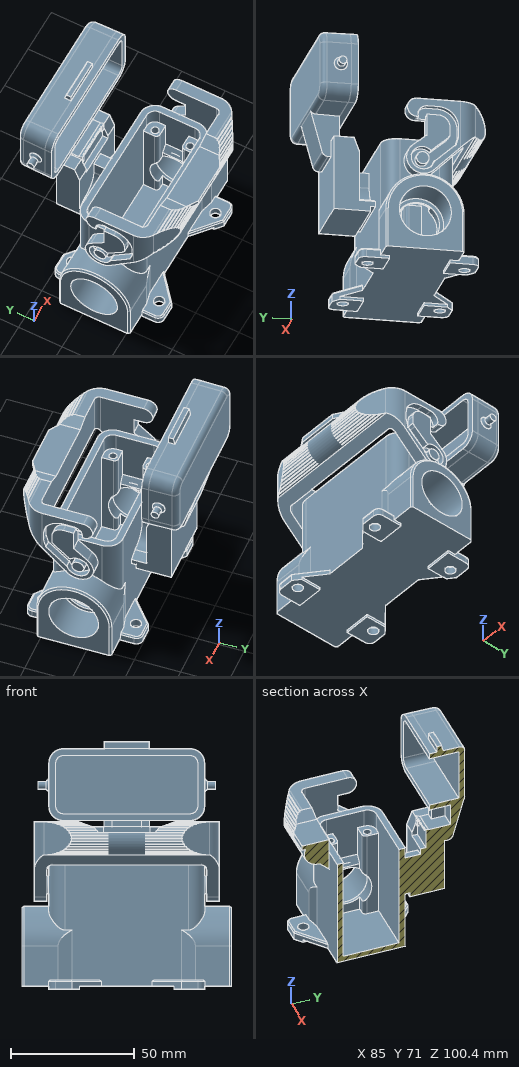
import cadquery as cq
import math

body_half_x, body_half_y, body_corner = 31.6, 14.9, 6.6
base_z, body_top = 1.2, 52.1
wall = 2.8
cavity_half_x, cavity_half_y = body_half_x - wall, body_half_y - wall
cavity_corner = body_corner - wall
cavity_floor = 4.0
end_wall_x, end_wall_top, end_wall_bottom = 26.2, 30.4, 27.4
post_half_x, post_half_y, post_top = 22.3, 5.3, 44.1
post_corner = 1.6
screw_x, screw_y, screw_radius, screw_depth = 24.8, 8.0, 1.6, 12.0

entry_length, entry_width, entry_z = 85.0, 32.4, 17.6
entry_half_x, entry_radius = entry_length / 2, entry_width / 2
entry_edge_chamfer = 0.8
bore_radius = 9.0
bore_mouth_radius, bore_mouth_depth = 10.7, 15.1
flare_outer_x, flare_inner_x = 27.8, 22.3

foot_top, foot_chamfer = 3.8, 0.6
foot_half_y, foot_corner = 24.9, 2.8
foot_diagonal_x, foot_tip_x = 22.3, 10.2
foot_hole_x, foot_hole_y, foot_hole_diameter = 24.1, 20.1, 4.5
pad_inner_x, pad_inner_y = 19.1, 12.5

lever_half_x, lever_inner_x, lever_inner_y = 37.5, 32.3, -18.2
lever_corner, lever_inner_corner = 8.2, 2.0
lever_top = 68.0
pivot_z, pivot_radius, pivot_pin_radius, pivot_washer_radius = 42.4, 6.7, 2.6, 3.6
hook_y, hook_height = 2.4, 7.9
hook_radius = hook_height / 2
hook_throat_y, hook_throat_bottom = -1.8, 52.5
grip_y, grip_height = -22.4, 13.6
grip_radius = grip_height / 2
grip_z = lever_top - grip_radius
grip_bottom = grip_z - grip_radius
flat_start_x, flat_start_y = 33.5, -22.6
flat_end_x = 22.4
groove_inner_x, groove_size, groove_step = 7.5, 0.2, 10
dip_half_x, dip_top_half_x, dip_z = 14.1, 19.6, 66.0
visor_thickness, visor_front_half_x = 2.4, 9.3
visor_front_y, visor_side_y = -30.1, -27.1
track_depth = 3.0
track_y, track_z, track_outer_radius, track_inner_radius = -6.3, 56.4, 8.5, 4.9
track_pivot_radius, track_bend = 4.8, 1.0

hinge_half_x, hinge_front_y, hinge_back_y = 15.1, 21.4, 32.0
hinge_bottom, hinge_top = 26.1, 57.5
hinge_slope_y, hinge_slope_z = 23.7, 51.4
hinge_plate_top = 30.4
hinge_step_y, hinge_step_z = 16.9, 28.1
slot_half_x, slot_floor = 9.2, 49.7
link_top, link_post_half_x, link_fillet = 47.0, 2.8, 8.2
link_fillet_z = 32.3

cap_half_x, cap_bottom, cap_top = 31.6, 68.4, 97.6
cap_front_y, cap_back_y = 25.4, 40.9
cap_corner, cap_back_fillet = 5.9, 2.5
cap_wall, cap_back_wall = 2.8, 2.8
cap_lip_depth, cap_draft = 3.0, 1.0
tab_half_x, tab_top, tab_front_y, tab_base_y, tab_tip_y = 9.1, 100.4, 28.5, 31.4, 30.7
stud_y, stud_z, stud_half_x = 32.7, 82.7, 36.0
stud_radius, stud_base_radius, stud_base_length = 1.6, 2.7, 1.1
arm_lip_y, arm_plate_z, arm_lip_height, arm_lip_width = 23.2, 58.6, 0.8, 1.7
arm_window_half_x, arm_window_depth = 5.9, 6.0
arm_recess_depth, arm_ear_width, arm_ear_height = 0.6, 1.5, 3.5
arm_heel_y, arm_heel_z, arm_heel_radius = 35.2, 50.6, 2.5


def box(x0, x1, y0, y1, z0, z1):
    return cq.Workplane("XY").box(x1 - x0, y1 - y0, z1 - z0, centered=False).translate((x0, y0, z0))


def along_x(profile, half_x):
    """Extrude a closed YZ profile symmetrically about X = 0."""
    return profile.extrude(half_x, both=True)


def rod_x(x0, x1, y, z, radius):
    return cq.Workplane("YZ", origin=(x0, y, z)).circle(radius).extrude(x1 - x0)


def mirror_x(shape):
    return shape.union(shape.mirror("YZ"))


def tangent_point(point, center, radius, side):
    """Point where a line from a given point touches a circle; side is +1 or -1."""
    dy, dz = point[0] - center[0], point[1] - center[1]
    angle = math.atan2(dz, dy) + side * math.acos(radius / math.hypot(dy, dz))
    return (center[0] + radius * math.cos(angle), center[1] + radius * math.sin(angle))


def make_entries():
    outline = (
        cq.Workplane("YZ")
        .moveTo(-entry_radius, base_z)
        .lineTo(-entry_radius, entry_z)
        .threePointArc((0, entry_z + entry_radius), (entry_radius, entry_z))
        .lineTo(entry_radius, base_z)
        .close()
    )
    block = along_x(outline, entry_half_x)
    block = block.faces("<X or >X").edges("not <Z").chamfer(entry_edge_chamfer)
    height = entry_z + entry_radius
    flare_points = [
        (entry_half_x, -entry_radius),
        (flare_outer_x, -entry_radius),
        (flare_inner_x, -body_half_y),
        (flare_inner_x, body_half_y),
        (flare_outer_x, entry_radius),
        (entry_half_x, entry_radius),
    ]
    flare = cq.Workplane("XY").polyline(flare_points).close().extrude(height)
    return block.intersect(mirror_x(flare))


def make_cavity():
    cavity = box(
        -cavity_half_x, cavity_half_x, -cavity_half_y, cavity_half_y, cavity_floor, body_top
    ).edges("|Z").fillet(cavity_corner)
    end_wall = (
        cq.Workplane("XZ")
        .polyline([
            (body_half_x, end_wall_top),
            (cavity_half_x, end_wall_top),
            (end_wall_x, end_wall_bottom),
            (end_wall_x, base_z),
            (body_half_x, base_z),
        ])
        .close()
        .extrude(body_half_y, both=True)
    )
    cavity = cavity.cut(mirror_x(end_wall))
    for side_x in (-1, 1):
        for side_y in (-1, 1):
            xs = sorted((side_x * post_half_x, side_x * body_half_x))
            ys = sorted((side_y * post_half_y, side_y * body_half_y))
            post = box(*xs, *ys, base_z, post_top)
            inner_face = "<X" if side_x > 0 else ">X"
            inner_side = "<Y" if side_y > 0 else ">Y"
            post = post.faces(inner_face).edges(inner_side).fillet(post_corner)
            cavity = cavity.cut(post)
    screws = (
        cq.Workplane("XY", origin=(0, 0, post_top - screw_depth))
        .rect(2 * screw_x, 2 * screw_y, forConstruction=True)
        .vertices()
        .circle(screw_radius)
        .extrude(screw_depth)
    )
    return cavity.union(screws)


def make_foot():
    """Foot in the +X, +Y corner, with a raised pad under its outer part."""
    plan = (
        cq.Workplane("XY", origin=(0, 0, base_z))
        .polyline([
            (foot_tip_x, body_half_y),
            (foot_diagonal_x, foot_half_y),
            (body_half_x, foot_half_y),
            (body_half_x, pad_inner_y),
            (foot_tip_x, pad_inner_y),
        ])
        .close()
        .extrude(foot_top - base_z)
    )
    pad = box(pad_inner_x, body_half_x, pad_inner_y, foot_half_y, 0, base_z).intersect(
        plan.translate((0, 0, -base_z))
    )
    foot = plan.union(pad)
    outer_corner = cq.selectors.NearestToPointSelector((body_half_x, foot_half_y, foot_top / 2))
    foot = foot.edges("|Z").edges(outer_corner).fillet(foot_corner)
    foot = foot.faces(">Z").edges("not(<Y)").edges("not(<X)").chamfer(foot_chamfer)
    hole = (
        cq.Workplane("XY")
        .center(foot_hole_x, foot_hole_y)
        .circle(foot_hole_diameter / 2)
        .extrude(foot_top)
    )
    return foot, hole


def make_housing():
    body = box(
        -body_half_x, body_half_x, -body_half_y, body_half_y, base_z, body_top
    ).edges("|Z").fillet(body_corner)
    foot, foot_hole = make_foot()
    feet = mirror_x(foot.union(foot.mirror("XZ")))
    foot_holes = mirror_x(foot_hole.union(foot_hole.mirror("XZ")))
    housing = body.union(make_entries()).union(feet).cut(foot_holes)
    bore = rod_x(-entry_half_x, entry_half_x, 0, entry_z, bore_radius)
    mouth = rod_x(entry_half_x - bore_mouth_depth, entry_half_x, 0, entry_z, bore_mouth_radius)
    return housing.cut(make_cavity()).cut(bore).cut(mirror_x(mouth))


def lever_profile():
    """Side outline of the lever: hook, grip roll and pivot eye."""
    pivot = (0, pivot_z)
    front = tangent_point((grip_y, grip_bottom), pivot, pivot_radius, 1)
    rear = tangent_point((hook_throat_y, hook_throat_bottom), pivot, pivot_radius, -1)
    hook_z = lever_top - hook_radius
    return (
        cq.Workplane("YZ")
        .moveTo(hook_y, lever_top)
        .lineTo(grip_y, lever_top)
        .threePointArc((grip_y - grip_radius, grip_z), (grip_y, grip_bottom))
        .lineTo(*front)
        .threePointArc((0, pivot_z - pivot_radius), rear)
        .lineTo(hook_throat_y, hook_throat_bottom)
        .lineTo(hook_throat_y, hook_z - hook_radius)
        .lineTo(hook_y, hook_z - hook_radius)
        .threePointArc((hook_y + hook_radius, hook_z), (hook_y, lever_top))
        .close()
    )


def lever_plan():
    """U-shaped outline of the lever seen from above."""
    front_y = grip_y - grip_radius
    rear_y = hook_y + hook_radius
    corner_y = flat_start_y + lever_corner * math.sin(
        math.acos(1 - (lever_half_x - flat_start_x) / lever_corner)
    )
    outer = (
        cq.Workplane("XY")
        .moveTo(-lever_half_x, pivot_radius)
        .lineTo(-lever_half_x, corner_y)
        .radiusArc((-flat_start_x, flat_start_y), -lever_corner)
        .lineTo(-flat_end_x, front_y)
        .lineTo(flat_end_x, front_y)
        .lineTo(flat_start_x, flat_start_y)
        .radiusArc((lever_half_x, corner_y), -lever_corner)
        .lineTo(lever_half_x, pivot_radius)
        .close()
        .extrude(lever_top)
    )
    gap = box(-lever_inner_x, lever_inner_x, lever_inner_y, rear_y + pivot_radius, 0, lever_top)
    return outer.cut(gap.edges("|Z and <Y").fillet(lever_inner_corner))


def grip_grooves():
    """Fine V grooves around the grip roll, on both sides of its smooth middle."""
    length = lever_half_x - groove_inner_x
    grooves = cq.Workplane("XY")
    for angle in range(90 + groove_step, 270, groove_step):
        y = grip_y + grip_radius * math.cos(math.radians(angle))
        z = grip_z + grip_radius * math.sin(math.radians(angle))
        groove = (
            cq.Workplane("YZ", origin=(groove_inner_x, y, z))
            .transformed(rotate=(0, 0, angle + 45))
            .rect(groove_size, groove_size)
            .extrude(length)
        )
        grooves = grooves.add(groove)
    return mirror_x(grooves.combine())


def lever_track():
    """Curved recess in the outer face of an arm, from the hook down to the pivot."""
    diagonal = math.sqrt(0.5)
    outer_top, inner_top = track_z + track_outer_radius, track_z + track_inner_radius
    outer_y, inner_y = track_y - track_outer_radius, track_y - track_inner_radius
    end_radius = outer_top - inner_top
    leg_z = pivot_z + track_pivot_radius / 2
    end_z = lever_top - 2 * hook_radius
    groove = (
        cq.Workplane("YZ", origin=(lever_half_x - track_depth, 0, 0))
        .moveTo(hook_throat_y, outer_top)
        .lineTo(track_y, outer_top)
        .threePointArc(
            (track_y - track_outer_radius * diagonal, track_z + track_outer_radius * diagonal),
            (outer_y, track_z),
        )
        .lineTo(outer_y, track_z - end_radius)
        .lineTo(outer_y + track_bend, track_z - 2 * end_radius)
        .lineTo(-track_pivot_radius, leg_z - end_radius)
        .lineTo(-track_pivot_radius * diagonal, pivot_z + track_pivot_radius * diagonal)
        .lineTo(inner_y + track_bend, track_z - track_inner_radius)
        .lineTo(inner_y, track_z - end_radius)
        .lineTo(inner_y, track_z)
        .threePointArc(
            (track_y - track_inner_radius * diagonal, track_z + track_inner_radius * diagonal),
            (track_y, inner_top),
        )
        .lineTo(hook_throat_y, inner_top)
        .lineTo(hook_throat_y, end_z)
        .lineTo(hook_throat_y + end_radius, end_z)
        .threePointArc(
            (hook_throat_y + end_radius * diagonal, inner_top + end_radius * diagonal),
            (hook_throat_y, outer_top),
        )
        .close()
        .extrude(track_depth)
    )
    eye = rod_x(lever_half_x - track_depth, lever_half_x, 0, pivot_z, track_pivot_radius)
    return mirror_x(groove.union(eye))


def make_lever():
    lever = along_x(lever_profile(), lever_half_x).intersect(lever_plan())
    dip = (
        cq.Workplane("XZ")
        .polyline([
            (-dip_half_x, dip_z),
            (dip_half_x, dip_z),
            (dip_top_half_x, lever_top),
            (-dip_top_half_x, lever_top),
        ])
        .close()
        .extrude(-visor_front_y)
    )
    visor = (
        cq.Workplane("XY", origin=(0, 0, dip_z - visor_thickness))
        .polyline([
            (-dip_half_x, lever_inner_y),
            (-dip_half_x, visor_side_y),
            (-visor_front_half_x, visor_front_y),
            (visor_front_half_x, visor_front_y),
            (dip_half_x, visor_side_y),
            (dip_half_x, lever_inner_y),
        ])
        .close()
        .extrude(visor_thickness)
    )
    lever = lever.cut(grip_grooves()).cut(dip).union(visor).cut(lever_track())
    pin = rod_x(cavity_half_x, lever_half_x, 0, pivot_z, pivot_pin_radius)
    washer = rod_x(cavity_half_x + wall / 2, lever_inner_x, 0, pivot_z, pivot_washer_radius)
    return lever.union(mirror_x(pin.union(washer)))


def make_hinge():
    inside_y = body_half_y - wall / 2
    block = (
        cq.Workplane("YZ")
        .polyline([
            (hinge_back_y, hinge_bottom),
            (hinge_back_y, hinge_top),
            (hinge_slope_y, hinge_top),
            (hinge_front_y, hinge_slope_z),
            (hinge_front_y, hinge_plate_top),
            (inside_y, hinge_plate_top),
            (inside_y, hinge_step_z),
            (hinge_step_y, hinge_step_z),
            (hinge_step_y, hinge_bottom),
        ])
        .close()
    )
    slot = box(-slot_half_x, slot_half_x, hinge_front_y, hinge_back_y, slot_floor, hinge_top)
    diagonal = 1 - math.sqrt(0.5)
    fillet_end_x = link_post_half_x + link_fillet
    link = (
        cq.Workplane("XZ", origin=(0, hinge_front_y, 0))
        .moveTo(0, link_top)
        .lineTo(link_post_half_x, link_top)
        .lineTo(link_post_half_x, link_fillet_z + link_fillet)
        .threePointArc(
            (link_post_half_x + diagonal * link_fillet, link_fillet_z + diagonal * link_fillet),
            (fillet_end_x, link_fillet_z),
        )
        .lineTo(hinge_half_x, hinge_plate_top)
        .lineTo(0, hinge_plate_top)
        .close()
        .extrude(hinge_front_y - inside_y)
    )
    return along_x(block, hinge_half_x).cut(slot).union(mirror_x(link))


def make_cap_arm():
    """Arm that carries the cap and seats in the slot of the hinge block."""
    root_z = cap_bottom + cap_wall
    profile = (
        cq.Workplane("YZ")
        .polyline([
            (tab_front_y, root_z),
            (tab_front_y, arm_plate_z),
            (arm_lip_y + arm_lip_width, arm_plate_z),
            (arm_lip_y, arm_plate_z + arm_lip_height),
            (arm_lip_y, slot_floor),
            (hinge_back_y, slot_floor),
            (hinge_back_y, arm_heel_z),
            (arm_heel_y, arm_heel_z),
            (cap_back_y, root_z),
        ])
        .close()
    )
    arm = along_x(profile, slot_half_x)
    heel = cq.selectors.NearestToPointSelector((0, arm_heel_y, arm_heel_z))
    arm = arm.edges("|X").edges(heel).fillet(arm_heel_radius)
    window = box(
        -arm_window_half_x, arm_window_half_x,
        tab_front_y, tab_front_y + arm_window_depth, arm_plate_z, cap_bottom,
    )
    recess_y = arm_lip_y + arm_recess_depth
    lower_recess = box(
        -slot_half_x, slot_half_x, arm_lip_y, recess_y, slot_floor, arm_plate_z - arm_ear_height
    )
    ear_inner_x = slot_half_x - arm_ear_width
    upper_recess = box(-ear_inner_x, ear_inner_x, arm_lip_y, recess_y, slot_floor, arm_plate_z)
    return arm.cut(window).cut(lower_recess).cut(upper_recess)


def cap_outline(y, margin):
    """Rounded rectangle of the cap at a given Y, drawn inward by a margin."""
    return (
        cq.Workplane("XZ", origin=(0, y, (cap_top + cap_bottom) / 2))
        .sketch()
        .rect(2 * (cap_half_x - margin), cap_top - cap_bottom - 2 * margin)
        .vertices()
        .fillet(cap_corner - margin)
        .finalize()
    )


def make_cap():
    shoulder_y = cap_front_y + cap_lip_depth
    shell = cap_outline(shoulder_y, 0).extrude(shoulder_y - cap_back_y, taper=cap_draft)
    shell = shell.faces(">Y").edges().fillet(cap_back_fillet)
    lip = cap_outline(cap_front_y, 0).extrude(-cap_lip_depth)
    cavity = cap_outline(cap_front_y, cap_wall).extrude(cap_front_y - cap_back_y + cap_back_wall)
    embed = cap_wall / 2
    tab = (
        cq.Workplane("YZ")
        .polyline([
            (tab_front_y, cap_top - embed),
            (tab_front_y, tab_top),
            (tab_tip_y, tab_top),
            (tab_base_y, cap_top),
            (tab_base_y, cap_top - embed),
        ])
        .close()
    )
    stud = rod_x(cap_half_x - embed, stud_half_x, stud_y, stud_z, stud_radius)
    stud_base = (
        cq.Workplane("YZ", origin=(cap_half_x - embed, stud_y, stud_z))
        .circle(stud_base_radius)
        .extrude(embed + stud_base_length)
        .faces(">X")
        .chamfer(stud_base_length, stud_base_radius - stud_radius)
    )
    cap = shell.union(lip).union(make_cap_arm()).union(along_x(tab, tab_half_x))
    return cap.union(mirror_x(stud.union(stud_base))).cut(cavity)


result = make_housing().union(make_hinge()).union(make_cap()).union(make_lever())